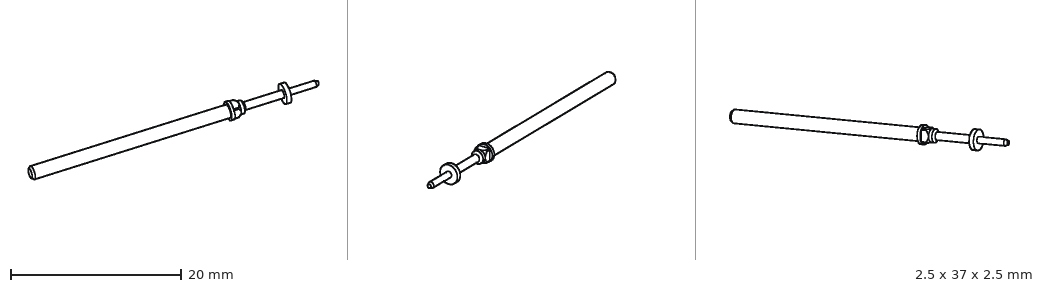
import cadquery as cq

overall_length = 37.0
barrel_end_y = -overall_length / 2
tip_y = overall_length / 2

barrel_diameter = 1.65
barrel_face_diameter = 1.22
flange_diameter = 2.33
shank_diameter = 1.0
disc_diameter = 2.5
pin_diameter = 0.8
tip_diameter = 0.5

barrel_chamfer_length = 0.3
flange_length = 0.4
neck_length = 1.65
neck_chamfer_length = 0.25
disc_length = 0.6
pin_length = 3.95
tip_chamfer_length = 0.37
tip_to_flange = 11.17

square_length = 0.95
square_corner_diameter = 2.2
square_taper_length = 0.35

flange_front_y = tip_y - tip_to_flange
flange_back_y = flange_front_y - flange_length
square_front_y = flange_front_y + square_length
neck_end_y = flange_front_y + neck_length
disc_front_y = tip_y - pin_length
disc_back_y = disc_front_y - disc_length


def turned(profile):
    """Revolve (diameter, y) points about the Y axis."""
    y_first = profile[0][1]
    y_last = profile[-1][1]
    outline = [(0, y_first)] + [(diameter / 2, y) for diameter, y in profile] + [(0, y_last)]
    return cq.Workplane("XY").polyline(outline).close().revolve(360, (0, 0), (0, 1))


def make_body():
    """Barrel, flange, neck, shank, disc and pin as one turned solid."""
    return turned([
        (barrel_face_diameter, barrel_end_y),
        (barrel_diameter, barrel_end_y + barrel_chamfer_length),
        (barrel_diameter, flange_back_y),
        (flange_diameter, flange_back_y),
        (flange_diameter, flange_front_y),
        (barrel_diameter, flange_front_y),
        (barrel_diameter, neck_end_y - neck_chamfer_length),
        (shank_diameter, neck_end_y),
        (shank_diameter, disc_back_y),
        (disc_diameter, disc_back_y),
        (disc_diameter, disc_front_y),
        (pin_diameter, disc_front_y),
        (pin_diameter, tip_y - tip_chamfer_length),
        (tip_diameter, tip_y),
    ])


def make_wrench_square():
    """Square block as wide as the barrel, its turned corners tapering down to the neck."""
    envelope = turned([
        (square_corner_diameter, flange_front_y),
        (square_corner_diameter, square_front_y - square_taper_length),
        (barrel_diameter, square_front_y),
    ])
    block = cq.Workplane("XY").box(barrel_diameter, square_length, barrel_diameter)
    block = block.translate((0, flange_front_y + square_length / 2, 0))
    return block.intersect(envelope)


result = make_body().union(make_wrench_square())